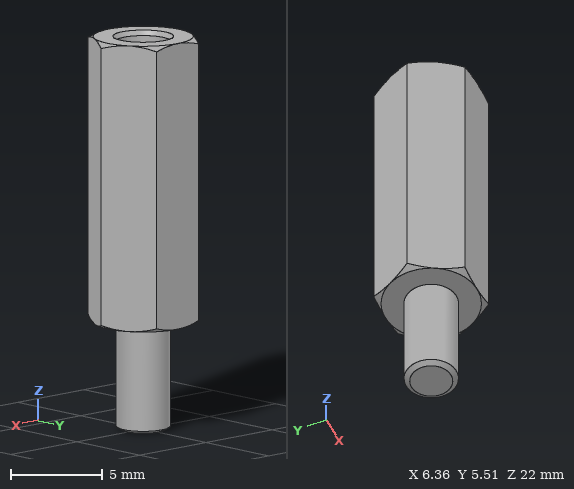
import cadquery as cq
import math

across_flats = 5.506
body_length = 16.0
end_face_diameter = 5.5
corner_chamfer_angle = 30.0

stud_diameter = 3.0
stud_length = 6.0
stud_tip_diameter = 2.36
stud_chamfer_angle = 30.0

hole_diameter = 3.0
hole_depth = 6.0
drill_point_angle = 120.0
hole_mouth_diameter = 3.32
countersink_angle = 60.0

hex_corner_half_angle = math.radians(30)
across_corners = across_flats / math.cos(hex_corner_half_angle)


def cone_height(outer_diameter, inner_diameter, half_angle):
    """Height of a conical band between two diameters, half_angle in degrees from the axis."""
    return (outer_diameter - inner_diameter) / 2 / math.tan(math.radians(half_angle))


def chamfered_cylinder(diameter, height, end_diameter, angle, ends):
    """Cylinder along Z whose selected ends narrow to end_diameter, angle in degrees from the end face."""
    radial_cut = (diameter - end_diameter) / 2
    axial_cut = radial_cut * math.tan(math.radians(angle))
    return (
        cq.Workplane("XY")
        .circle(diameter / 2)
        .extrude(height)
        .faces(ends)
        .chamfer(axial_cut, radial_cut)
    )


def hex_body():
    """Hexagonal bar with corners on the X axis, its corners turned down conically at both ends."""
    bar = cq.Workplane("XY").polygon(6, across_corners).extrude(body_length)
    turned_envelope = chamfered_cylinder(
        across_corners, body_length, end_face_diameter, corner_chamfer_angle, "<Z or >Z"
    )
    return bar.intersect(turned_envelope)


def stud():
    """Cylindrical stud hanging from the body, with a chamfered tip."""
    return chamfered_cylinder(stud_diameter, -stud_length, stud_tip_diameter, stud_chamfer_angle, "<Z")


def hole():
    """Blind drilled hole with a countersunk mouth and a conical bottom, revolved about Z."""
    radius = hole_diameter / 2
    mouth_radius = hole_mouth_diameter / 2
    countersink_z = body_length - cone_height(hole_mouth_diameter, hole_diameter, countersink_angle / 2)
    shoulder_z = body_length - hole_depth
    tip_z = shoulder_z - cone_height(hole_diameter, 0, drill_point_angle / 2)
    return (
        cq.Workplane("XZ")
        .moveTo(0, tip_z)
        .lineTo(radius, shoulder_z)
        .lineTo(radius, countersink_z)
        .lineTo(mouth_radius, body_length)
        .lineTo(0, body_length)
        .close()
        .revolve(360, (0, 0), (0, 1))
    )


result = hex_body().union(stud()).cut(hole())